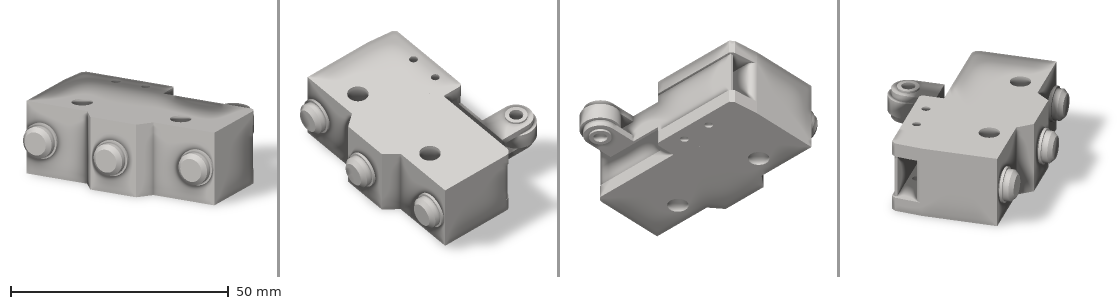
import cadquery as cq


LENGTH = 49.2
THICKNESS = 17.5
BODY_DEPTH = 17.95
MIDDLE_DEPTH = 21.35
MIDDLE_TOP_WIDTH = 17.4
MIDDLE_BOTTOM_WIDTH = 12.0
MOUNT_HOLE_DIA = 4.9
MOUNT_HOLE_SPACING = 25.8
MOUNT_HOLE_Y = -12.7
RIDGE_HEIGHT = 1.6

PLATE_THICKNESS = 3.4
PLATE_HEIGHT = 7.65
PLATE_TALL_END = 24.85
PLATE_LIP = 1.9
PLATE_LIP_RADIUS = 1.6
PLATE_CORNER_RADIUS = 1.0
PLATE_TAPER = 0.7
PLATE_CHAMFER_X = 0.85
PLATE_CHAMFER_Y = 1.0
PLATE_HOLE_DIA = 2.0
PLATE_HOLE_XS = (11.05, 18.85)
PLATE_HOLE_Y = 4.5

LEVER_START = 1.55
LEVER_BOTTOM = 6.35
LEVER_THICKNESS = 0.7
ARM_WIDTH = 7.9
ARM_THICKNESS = 1.6

ROLLER_X = 36.6
ROLLER_Y = 13.83
ROLLER_DIA = 9.55
ROLLER_WIDTH = 4.0
PIN_DIA = 5.2
PIN_BORE = 3.25
PIN_LENGTH = 8.25

NECK_RADIUS = 3.45
NECK_LENGTH = 0.45
FLANGE_RADIUS = 4.25
FLANGE_THICKNESS = 0.65
HEAD_RADIUS = 3.75
SCREW_HEIGHT = 3.5
SCREW_CHAMFER = 1.0

MIDDLE_X = LENGTH / 2
GAP = THICKNESS - 2 * PLATE_THICKNESS
FORK_WIDTH = ROLLER_WIDTH + 2 * ARM_THICKNESS


def prism(sketch, width):
    """Extrude an XY outline evenly to both sides of Z = 0."""
    return sketch.extrude(width).translate((0, 0, -width / 2))


def cylinder(x, y, diameter, width):
    """Cylinder along Z, centred on Z = 0."""
    return prism(cq.Workplane("XY").center(x, y).circle(diameter / 2), width)


def make_housing():
    half_top = MIDDLE_TOP_WIDTH / 2
    half_bottom = MIDDLE_BOTTOM_WIDTH / 2
    outline = cq.Workplane("XY").polyline([
        (0, 0),
        (0, -BODY_DEPTH),
        (MIDDLE_X - half_top, -BODY_DEPTH),
        (MIDDLE_X - half_bottom, -MIDDLE_DEPTH),
        (MIDDLE_X + half_bottom, -MIDDLE_DEPTH),
        (MIDDLE_X + half_top, -BODY_DEPTH),
        (LENGTH, -BODY_DEPTH),
        (LENGTH, 0),
    ]).close()
    block = prism(outline, THICKNESS)

    ridge_outline = (
        cq.Workplane("XY")
        .moveTo(0, 0)
        .radiusArc((RIDGE_HEIGHT, RIDGE_HEIGHT), RIDGE_HEIGHT)
        .lineTo(LENGTH - RIDGE_HEIGHT, RIDGE_HEIGHT)
        .radiusArc((LENGTH, 0), RIDGE_HEIGHT)
        .close()
    )
    block = block.union(prism(ridge_outline, GAP))

    for side in (-1, 1):
        hole_x = MIDDLE_X + side * MOUNT_HOLE_SPACING / 2
        block = block.cut(cylinder(hole_x, MOUNT_HOLE_Y, MOUNT_HOLE_DIA, THICKNESS))
    return block


def make_side_plate(bottom_z):
    plate = (
        cq.Workplane("XY", origin=(0, 0, bottom_z))
        .moveTo(0, 0)
        .lineTo(PLATE_TAPER, PLATE_HEIGHT - PLATE_CHAMFER_Y)
        .lineTo(PLATE_TAPER + PLATE_CHAMFER_X, PLATE_HEIGHT)
        .lineTo(PLATE_TALL_END - PLATE_CORNER_RADIUS, PLATE_HEIGHT)
        .radiusArc((PLATE_TALL_END, PLATE_HEIGHT - PLATE_CORNER_RADIUS), PLATE_CORNER_RADIUS)
        .lineTo(PLATE_TALL_END, PLATE_LIP)
        .lineTo(LENGTH - PLATE_LIP_RADIUS, PLATE_LIP)
        .radiusArc((LENGTH, PLATE_LIP - PLATE_LIP_RADIUS), PLATE_LIP_RADIUS)
        .lineTo(LENGTH, 0)
        .close()
        .extrude(PLATE_THICKNESS)
    )
    for hole_x in PLATE_HOLE_XS:
        plate = plate.cut(cylinder(hole_x, PLATE_HOLE_Y, PLATE_HOLE_DIA, THICKNESS))
    return plate


def make_strip(start_x, end_x, width):
    """Flat length of the lever, centred on Z = 0."""
    strip = cq.Workplane("XY").box(end_x - start_x, LEVER_THICKNESS, width, centered=(False, False, True))
    return strip.translate((start_x, LEVER_BOTTOM, 0))


def make_lever():
    arm_left = ROLLER_X - ARM_WIDTH / 2
    arm_right = ROLLER_X + ARM_WIDTH / 2

    wide_strip = make_strip(LEVER_START, PLATE_TALL_END, GAP)
    narrow_strip = make_strip(PLATE_TALL_END, arm_left, FORK_WIDTH)

    fork_outline = (
        cq.Workplane("XY")
        .moveTo(arm_left, LEVER_BOTTOM)
        .lineTo(arm_left, ROLLER_Y)
        .radiusArc((arm_right, ROLLER_Y), ARM_WIDTH / 2)
        .lineTo(arm_right, LEVER_BOTTOM)
        .close()
    )
    fork = prism(fork_outline, FORK_WIDTH)
    slot_floor = LEVER_BOTTOM + LEVER_THICKNESS
    slot_depth = ROLLER_Y + ARM_WIDTH / 2 - slot_floor
    slot = cq.Workplane("XY").box(ARM_WIDTH, slot_depth, ROLLER_WIDTH, centered=(True, False, True))
    fork = fork.cut(slot.translate((ROLLER_X, slot_floor, 0)))
    fork = fork.cut(cylinder(ROLLER_X, ROLLER_Y, PIN_DIA, FORK_WIDTH))
    return wide_strip.union(narrow_strip).union(fork)


def make_roller():
    roller = cylinder(ROLLER_X, ROLLER_Y, ROLLER_DIA, ROLLER_WIDTH)
    return roller.cut(cylinder(ROLLER_X, ROLLER_Y, PIN_DIA, ROLLER_WIDTH))


def make_pin():
    pin = cylinder(ROLLER_X, ROLLER_Y, PIN_DIA, PIN_LENGTH)
    return pin.cut(cylinder(ROLLER_X, ROLLER_Y, PIN_BORE, PIN_LENGTH))


def make_terminal_screw(x, seat_y):
    """Screw hanging in -Y from its seat, turned about its own axis."""
    flange_end = NECK_LENGTH + FLANGE_THICKNESS
    profile = cq.Workplane("XY").polyline([
        (0, 0),
        (NECK_RADIUS, 0),
        (NECK_RADIUS, -NECK_LENGTH),
        (FLANGE_RADIUS, -NECK_LENGTH),
        (FLANGE_RADIUS, -flange_end),
        (HEAD_RADIUS, -flange_end),
        (HEAD_RADIUS, SCREW_CHAMFER - SCREW_HEIGHT),
        (HEAD_RADIUS - SCREW_CHAMFER, -SCREW_HEIGHT),
        (0, -SCREW_HEIGHT),
    ]).close()
    return profile.revolve(360, (0, 0, 0), (0, 1, 0)).translate((x, seat_y, 0))


housing = make_housing()
side_plates = [make_side_plate(z) for z in (-THICKNESS / 2, GAP / 2)]
lever = make_lever()
roller = make_roller()
pin = make_pin()

screw_seats = [
    (FLANGE_RADIUS, -BODY_DEPTH),
    (MIDDLE_X, -MIDDLE_DEPTH),
    (LENGTH - FLANGE_RADIUS, -BODY_DEPTH),
]
terminal_screws = [make_terminal_screw(x, seat_y) for x, seat_y in screw_seats]

result = cq.Compound.makeCompound([
    housing.val(),
    *[plate.val() for plate in side_plates],
    lever.val(),
    roller.val(),
    pin.val(),
    *[screw.val() for screw in terminal_screws],
])